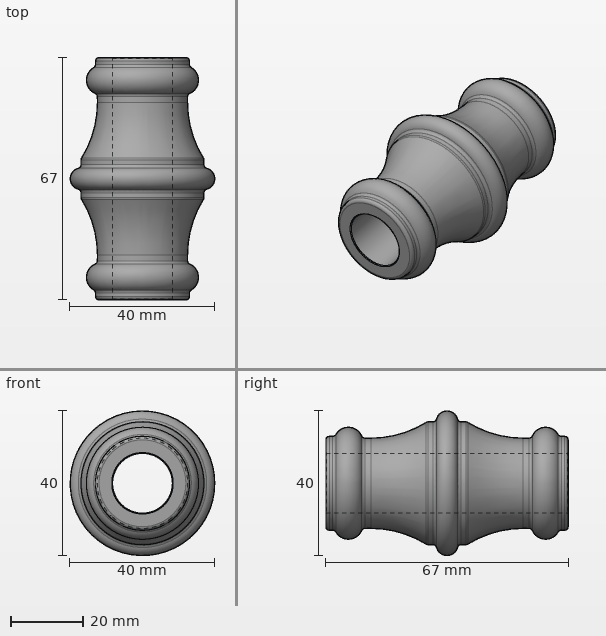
import cadquery as cq
import math

half_length = 67.0 / 2

bore_radius = 8.25
bore_chamfer = 0.25

middle_bead_outer_radius = 20.0
middle_bead_round = 3.0
collar_radius = 17.0
collar_end = 5.5

neck_radius = 12.5
flare_radius = 29.0

end_bead_outer_radius = 15.5
end_bead_round = 4.0
end_bead_position = 27.25
lip_radius = 13.0

edge_round = 1.0

pick_margin = 0.1


def bead_half_height(outer_radius, bead_round, shaft_radius):
    """Axial distance from a bead's centre to where it meets a shaft."""
    centre_radius = outer_radius - bead_round
    return math.sqrt(bead_round**2 - (shaft_radius - centre_radius) ** 2)


flare_length = math.sqrt(flare_radius**2 - (flare_radius - collar_radius + neck_radius) ** 2)
flare_end = collar_end + flare_length
middle_bead_end = bead_half_height(middle_bead_outer_radius, middle_bead_round, collar_radius)
neck_end = end_bead_position - bead_half_height(end_bead_outer_radius, end_bead_round, neck_radius)
lip_start = end_bead_position + bead_half_height(end_bead_outer_radius, end_bead_round, lip_radius)


def make_blank():
    """Solid outer shape turned about Y from a full-length profile, with sharp edges."""
    half_flare_angle = math.asin(flare_length / flare_radius) / 2
    flare_point_radius = neck_radius + flare_radius * (1 - math.cos(half_flare_angle))
    flare_point_position = flare_end - flare_radius * math.sin(half_flare_angle)

    return (
        cq.Workplane("XY")
        .moveTo(0, -half_length)
        .lineTo(lip_radius, -half_length)
        .lineTo(lip_radius, -lip_start)
        .threePointArc((end_bead_outer_radius, -end_bead_position), (neck_radius, -neck_end))
        .lineTo(neck_radius, -flare_end)
        .threePointArc((flare_point_radius, -flare_point_position), (collar_radius, -collar_end))
        .lineTo(collar_radius, -middle_bead_end)
        .threePointArc((middle_bead_outer_radius, 0), (collar_radius, middle_bead_end))
        .lineTo(collar_radius, collar_end)
        .threePointArc((flare_point_radius, flare_point_position), (neck_radius, flare_end))
        .lineTo(neck_radius, neck_end)
        .threePointArc((end_bead_outer_radius, end_bead_position), (lip_radius, lip_start))
        .lineTo(lip_radius, half_length)
        .lineTo(0, half_length)
        .close()
        .revolve(360, (0, 0, 0), (0, 1, 0))
    )


def edge_at(position):
    """Selector for the circular edge centred on the Y axis at a position."""
    return cq.selectors.BoxSelector(
        (-pick_margin, position - pick_margin, -pick_margin),
        (pick_margin, position + pick_margin, pick_margin),
    )


def round_edges(sleeve):
    """Fillet every sharp circular edge of the outer shape."""
    for position in (middle_bead_end, collar_end, neck_end, lip_start, half_length):
        for side in (-1, 1):
            sleeve = sleeve.edges(edge_at(side * position)).fillet(edge_round)
    return sleeve


def cut_bore(sleeve):
    """Cut the bore from end to end and chamfer both mouths."""
    sleeve = sleeve.cut(cq.Workplane("XZ").circle(bore_radius).extrude(half_length, both=True))
    smallest_circle = cq.selectors.RadiusNthSelector(0)
    for end_face in ("<Y", ">Y"):
        sleeve = sleeve.faces(end_face).edges(smallest_circle).chamfer(bore_chamfer)
    return sleeve


result = cut_bore(round_edges(make_blank()))